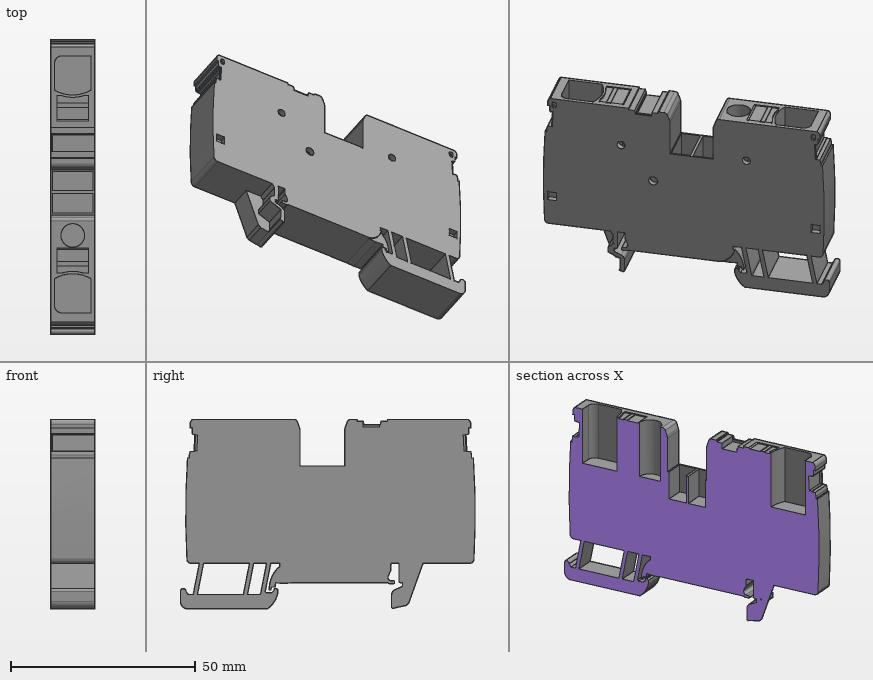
import cadquery as cq


WIDTH = 12.0
HEIGHT = 51.5
HALF_LENGTH = 39.3
HOUSING_BASE = 12.3
RAIL_SEAT = 7.05
FOOT_END = HALF_LENGTH - 80.1

MARKER_WALL = 0.5
MARKER_DEPTH = 0.8
MARKER_INSET = 0.2
STRIP_WIDTH = 0.25
STRIP_DROP = 0.25

NOTCH_Y_MIN = 9.1
NOTCH_Y_MAX = 13.5
NOTCH_FLOOR = HEIGHT - 1.4
NOTCH_LEDGE = HEIGHT - 0.5
NOTCH_FLARE = 0.25

END_NOTCH_TOP = HEIGHT - 4.2
END_NOTCH_BOTTOM = 42.75
END_NOTCH_Y_TOP = 36.8
END_NOTCH_Y_BOTTOM = 37.1

CHANNEL_Y_MIN = -8.25
CHANNEL_Y_MAX = 3.85
CHANNEL_FLOOR = 38.8
BRIDGE_CENTERS = (0.92, -5.1)
BRIDGE_LENGTH = 5.3
BRIDGE_WALL = 0.5
BRIDGE_DEPTH = 8.0

ENTRY_OUTER = 34.9
ENTRY_SHOULDER = 25.6
ENTRY_APEX = 24.3
ENTRY_WALL = 1.05
ENTRY_CORNER_RADIUS = 2.1
ENTRY_DEPTH = 16.0
LEVER_INNER = 17.2
LEVER_OUTER = 24.1
LEVER_BEVEL = 0.4
LEVER_GAP = 0.65
LEVER_WIDTH = 8.6
LEVER_DEPTH = 0.3
LEVER_RIB_CENTER = 21.5
LEVER_RIB_WIDTH = 1.2
LEVER_RIB_DROP = 0.2

TEST_HOLE_Y = -13.85
TEST_HOLE_DIAMETER = 6.4

PIN_Y = 17.5
PIN_Z = 39.6
PIN_DIAMETER = 2.25
PIN_DEPTH = 1.6
PIN_STEP = 0.25
CENTER_PIN_Y = 8.6
CENTER_PIN_Z = 29.7
CENTER_PIN_DIAMETER = 2.5
SQUARE_Y = 36.9
SQUARE_Z = 21.0
SQUARE_SIZE = 2.5
SQUARE_DEPTH = 1.6
SLOT_Y = 36.3
SLOT_Z = 49.6
SLOT_LENGTH = 1.8
SLOT_WIDTH = 1.2
SLOT_DEPTH = 0.8

WEDGE_START = WIDTH / 2
LATCH_BEND = (16.6, 4.8)
LATCH_BEND_RADIUS = 1.6
HOOK_START = 0.5
FOOT_FLOOR = 3.9
FOOT_LIP_TOP = 5.5
FOOT_LIP_RADIUS = 0.8
LEG_WIDTH = 1.2
LEG_LEAN = 1.7
LEG_TOPS = (-16.2, -20.8, -34.4)
OVERLAP = 0.2


def side_plane(x=0.0):
    """Sketch plane facing +X whose local axes are Y and Z."""
    return cq.Workplane("YZ", origin=(x, 0, 0))


def side_plate(points, start=0.0, end=WIDTH):
    """Plate between two X positions with a straight-sided (Y, Z) outline."""
    return side_plane(start).polyline(points).close().extrude(end - start)


def block(x_range, y_range, z_range):
    """Box given by its two limits on each axis."""
    (x0, x1), (y0, y1), (z0, z1) = x_range, sorted(y_range), z_range
    return cq.Workplane("XY").box(x1 - x0, y1 - y0, z1 - z0, centered=False).translate((x0, y0, z0))


def housing():
    """Main plate with stepped ends, marker notches and the central channel."""
    steps = [
        (38.1, HEIGHT - 2.3),
        (37.55, HEIGHT - 2.3),
        (37.55, HEIGHT - 3.85),
        (37.3, END_NOTCH_TOP),
        (END_NOTCH_Y_TOP, END_NOTCH_TOP),
        (END_NOTCH_Y_BOTTOM, END_NOTCH_BOTTOM),
        (38.1, END_NOTCH_BOTTOM),
        (38.35, 41.7),
        (38.35, 41.0),
        (38.8, 41.0),
    ]
    crown = (37.3, HEIGHT)
    crown_middle = (37.9, HEIGHT - 0.5)
    crown_end = (38.1, HEIGHT - 1.4)
    bulge = (HALF_LENGTH, 24.8)
    side_foot = (39.0, HOUSING_BASE + 1.3)
    base_round = (38.7, HOUSING_BASE + 0.4)
    base_corner = (37.8, HOUSING_BASE)

    def mirror(point):
        return (-point[0], point[1])

    outline = side_plane().moveTo(*crown).threePointArc(crown_middle, crown_end)
    for point in steps:
        outline = outline.lineTo(*point)
    outline = outline.threePointArc(bulge, side_foot).threePointArc(base_round, base_corner)
    outline = outline.lineTo(*mirror(base_corner)).threePointArc(mirror(base_round), mirror(side_foot))
    outline = outline.threePointArc(mirror(bulge), mirror(steps[-1]))
    for point in reversed(steps[:-1]):
        outline = outline.lineTo(*mirror(point))
    outline = outline.lineTo(*mirror(crown_end)).threePointArc(mirror(crown_middle), mirror(crown))
    outline = (
        outline.lineTo(CHANNEL_Y_MIN - 1.7, HEIGHT)
        .threePointArc((CHANNEL_Y_MIN - 1.1, HEIGHT - 0.2), (CHANNEL_Y_MIN - 0.7, HEIGHT - 0.65))
        .lineTo(CHANNEL_Y_MIN - 0.2, HEIGHT - 2.2)
        .lineTo(CHANNEL_Y_MIN, HEIGHT - 2.7)
        .lineTo(CHANNEL_Y_MIN, CHANNEL_FLOOR)
        .lineTo(CHANNEL_Y_MAX, CHANNEL_FLOOR)
        .lineTo(CHANNEL_Y_MAX, HEIGHT - 2.7)
        .lineTo(CHANNEL_Y_MAX + 0.2, HEIGHT - 2.2)
        .lineTo(CHANNEL_Y_MAX + 0.7, HEIGHT - 0.65)
        .threePointArc((CHANNEL_Y_MAX + 1.1, HEIGHT - 0.2), (CHANNEL_Y_MAX + 1.7, HEIGHT))
        .lineTo(7.0, HEIGHT)
        .lineTo(7.3, HEIGHT - 0.2)
        .lineTo(7.3, NOTCH_LEDGE)
        .lineTo(NOTCH_Y_MIN - NOTCH_FLARE, NOTCH_LEDGE)
        .lineTo(NOTCH_Y_MIN, NOTCH_FLOOR)
        .lineTo(NOTCH_Y_MAX, NOTCH_FLOOR)
        .lineTo(NOTCH_Y_MAX + NOTCH_FLARE, NOTCH_LEDGE)
        .lineTo(15.45, NOTCH_LEDGE)
        .lineTo(15.45, HEIGHT)
    )
    return outline.close().extrude(WIDTH)


def rail_seat():
    """Lower part of the plate that rests on the rail, with a lip at its +Y end."""
    return (
        side_plane()
        .moveTo(16.65, HOUSING_BASE + OVERLAP)
        .lineTo(16.4, HOUSING_BASE - 0.3)
        .lineTo(16.4, 10.5)
        .lineTo(15.7, 8.8)
        .threePointArc((15.8, 8.1), (16.3, 7.7))
        .lineTo(17.05, 7.7)
        .threePointArc((17.45, 7.25), (17.05, 6.8))
        .lineTo(16.0, 6.8)
        .lineTo(15.5, RAIL_SEAT)
        .lineTo(-10.4, RAIL_SEAT)
        .threePointArc((-13.05, 8.8), (-14.2, 11.2))
        .lineTo(-13.8, 11.45)
        .lineTo(-13.8, HOUSING_BASE + OVERLAP)
        .close()
        .extrude(WIDTH)
    )


def hook():
    """Curved hook at the -Y end of the rail seat."""
    return (
        side_plane(HOOK_START)
        .moveTo(-13.8, 11.45)
        .lineTo(-14.2, 11.2)
        .threePointArc((-16.1, 8.3), (-16.65, 5.1))
        .lineTo(-16.2, 5.1)
        .lineTo(-16.0, 5.9)
        .lineTo(-15.0, 5.9)
        .lineTo(-14.9, RAIL_SEAT)
        .lineTo(-12.65, RAIL_SEAT - 0.2)
        .lineTo(-10.4, RAIL_SEAT)
        .close()
        .extrude(WIDTH - HOOK_START)
    )


def latch():
    """Springy latch at the +Y side of the rail, backed by a wedge on the +X half."""
    inner_edge = [
        (18.6, HOUSING_BASE + OVERLAP),
        (18.6, 7.4),
        (19.0, RAIL_SEAT),
        (19.5, RAIL_SEAT),
        (19.5, 6.2),
        LATCH_BEND,
        (16.6, 0.3),
        (17.0, 0.1),
        (18.1, 0.4),
    ]
    outer_edge = [
        (17.8, 1.4),
        (17.8, 4.2),
        (21.2, 5.7),
        (21.2, 7.1),
        (19.8, 8.5),
        (19.8, 11.2),
        (20.6, HOUSING_BASE),
        (20.6, HOUSING_BASE + OVERLAP),
    ]
    wedge_edge = [
        (20.6, 0.9),
        (21.3, 1.6),
        (25.15, HOUSING_BASE),
        (25.15, HOUSING_BASE + OVERLAP),
    ]
    bend = cq.selectors.NearestToPointSelector((WIDTH / 2, *LATCH_BEND))
    strip = side_plate(inner_edge + outer_edge, 0, WEDGE_START)
    wedge = side_plate(inner_edge + wedge_edge, WEDGE_START)
    return strip.union(wedge).clean().edges("|X").edges(bend).fillet(LATCH_BEND_RADIUS)


def foot():
    """Foot hanging below the -Y end on three leaning legs."""
    base = (
        side_plane()
        .moveTo(-17.05, 0)
        .threePointArc((-15.3, 1.85), (-14.25, 4.25))
        .lineTo(-14.25, 5.3)
        .lineTo(-14.8, 5.6)
        .lineTo(-15.2, 5.6)
        .lineTo(-15.4, 5.0)
        .lineTo(-15.9, 4.4)
        .lineTo(-17.4, 4.4)
        .lineTo(-17.85, 5.0)
        .lineTo(-18.6, 5.0)
        .lineTo(-19.1, FOOT_FLOOR)
        .lineTo(-38.6, FOOT_FLOOR)
        .lineTo(FOOT_END + 2 * FOOT_LIP_RADIUS, FOOT_LIP_TOP - FOOT_LIP_RADIUS)
        .threePointArc((FOOT_END + FOOT_LIP_RADIUS, FOOT_LIP_TOP), (FOOT_END, FOOT_LIP_TOP - FOOT_LIP_RADIUS))
        .lineTo(FOOT_END, 2.0)
        .threePointArc((FOOT_END + 0.5, 0.7), (FOOT_END + 1.7, 0))
        .close()
        .extrude(WIDTH)
    )
    for top in LEG_TOPS:
        leg = [
            (top, HOUSING_BASE + OVERLAP),
            (top, HOUSING_BASE),
            (top - LEG_LEAN, FOOT_FLOOR - OVERLAP),
            (top - LEG_LEAN - LEG_WIDTH, FOOT_FLOOR - OVERLAP),
            (top - LEG_WIDTH, HOUSING_BASE),
            (top - LEG_WIDTH, HOUSING_BASE + OVERLAP),
        ]
        base = base.union(side_plate(leg))
    return base


def end_marker_layer(side, depth, inset, start, end):
    """Layer of the given depth behind the face of an end notch, between two X positions."""
    outline = [
        (side * (END_NOTCH_Y_TOP + OVERLAP), END_NOTCH_TOP - inset),
        (side * (END_NOTCH_Y_TOP - depth), END_NOTCH_TOP - inset),
        (side * (END_NOTCH_Y_BOTTOM - depth), END_NOTCH_BOTTOM + inset),
        (side * (END_NOTCH_Y_BOTTOM + OVERLAP), END_NOTCH_BOTTOM + inset),
    ]
    return side_plate(outline, start, end)


def end_marker(side):
    """End marker recess together with the step along its wall."""
    recess = end_marker_layer(side, MARKER_DEPTH, MARKER_INSET, MARKER_WALL, WIDTH)
    return recess.union(end_marker_layer(side, STRIP_DROP, 0, 0, STRIP_WIDTH))


def top_marker():
    """Top marker recess together with the step along its wall."""
    recess_y = (NOTCH_Y_MIN - NOTCH_FLARE, NOTCH_Y_MAX - MARKER_INSET)
    recess = block((MARKER_WALL, WIDTH), recess_y, (NOTCH_FLOOR - MARKER_DEPTH, NOTCH_LEDGE))
    strip_z = (NOTCH_FLOOR - STRIP_DROP, NOTCH_FLOOR)
    return recess.union(block((0, STRIP_WIDTH), (NOTCH_Y_MIN, NOTCH_Y_MAX), strip_z))


def bridge_pockets():
    """Two pockets side by side in the channel floor."""
    return (
        cq.Workplane("XY", origin=(0, 0, CHANNEL_FLOOR))
        .pushPoints([(WIDTH / 2, y) for y in BRIDGE_CENTERS])
        .rect(WIDTH - 2 * BRIDGE_WALL, BRIDGE_LENGTH)
        .extrude(-BRIDGE_DEPTH)
    )


def entry_shape(side, grow, depth):
    """Wire entry prism with a bowed inner side, moved inward by grow."""
    x0 = ENTRY_WALL
    x1 = WIDTH - ENTRY_WALL
    outer = side * ENTRY_OUTER
    shoulder = side * (ENTRY_SHOULDER - grow)
    apex = side * (ENTRY_APEX - grow)
    return (
        cq.Workplane("XY", origin=(0, 0, HEIGHT))
        .moveTo(x0, shoulder)
        .threePointArc((WIDTH / 2, apex), (x1, shoulder))
        .lineTo(x1, outer)
        .lineTo(x0, outer)
        .close()
        .extrude(-depth)
    )


def wire_entry(side):
    """Wire entry with its outer -X corner rounded."""
    corner = cq.selectors.NearestToPointSelector((ENTRY_WALL, side * ENTRY_OUTER, HEIGHT - ENTRY_DEPTH / 2))
    return entry_shape(side, 0, ENTRY_DEPTH).edges("|Z").edges(corner).fillet(ENTRY_CORNER_RADIUS)


def lever_recess(side):
    """Shallow recess around a release lever, leaving a cross rib standing."""
    x_range = ((WIDTH - LEVER_WIDTH) / 2, (WIDTH + LEVER_WIDTH) / 2)
    floor = HEIGHT - LEVER_DEPTH
    outline = [
        (side * LEVER_INNER, HEIGHT),
        (side * (LEVER_INNER + LEVER_BEVEL), floor),
        (side * LEVER_OUTER, floor),
        (side * LEVER_OUTER, HEIGHT),
    ]
    rib_inner = side * (LEVER_RIB_CENTER - LEVER_RIB_WIDTH / 2)
    rib_outer = side * (LEVER_RIB_CENTER + LEVER_RIB_WIDTH / 2)
    rib = block(x_range, (rib_inner, rib_outer), (floor, HEIGHT - LEVER_RIB_DROP))
    recess = side_plate(outline, *x_range).cut(rib)
    return recess.cut(entry_shape(side, LEVER_GAP, LEVER_DEPTH))


def test_hole():
    """Round hole in the top of the -Y tower."""
    return (
        cq.Workplane("XY", origin=(WIDTH / 2, TEST_HOLE_Y, HEIGHT))
        .circle(TEST_HOLE_DIAMETER / 2)
        .extrude(-ENTRY_DEPTH)
    )


def pin_recess(y, z, diameter, depth):
    """Round recess in the -X face."""
    return side_plane().center(y, z).circle(diameter / 2).extrude(depth)


def stepped_pin_recess(side):
    """Round recess whose outer half is slightly deeper."""
    deep = pin_recess(side * PIN_Y, PIN_Z, PIN_DIAMETER, PIN_DEPTH + PIN_STEP)
    outer_half = block((0, WIDTH), (side * PIN_Y, side * HALF_LENGTH), (0, HEIGHT))
    return pin_recess(side * PIN_Y, PIN_Z, PIN_DIAMETER, PIN_DEPTH).union(deep.intersect(outer_half))


def square_recess(side):
    """Square recess near the end of the -X face."""
    return side_plane().center(side * SQUARE_Y, SQUARE_Z).rect(SQUARE_SIZE, SQUARE_SIZE).extrude(SQUARE_DEPTH)


def slot_recess(side):
    """Small upright slot near the top corner of the -X face."""
    return side_plane().center(side * SLOT_Y, SLOT_Z).slot2D(SLOT_LENGTH, SLOT_WIDTH, 90).extrude(SLOT_DEPTH)


result = housing().union(rail_seat()).union(hook()).union(latch()).union(foot())
result = result.cut(top_marker()).cut(bridge_pockets()).cut(test_hole())
result = result.cut(pin_recess(CENTER_PIN_Y, CENTER_PIN_Z, CENTER_PIN_DIAMETER, PIN_DEPTH))
for end in (1, -1):
    result = result.cut(end_marker(end)).cut(wire_entry(end)).cut(lever_recess(end))
    result = result.cut(stepped_pin_recess(end)).cut(square_recess(end)).cut(slot_recess(end))